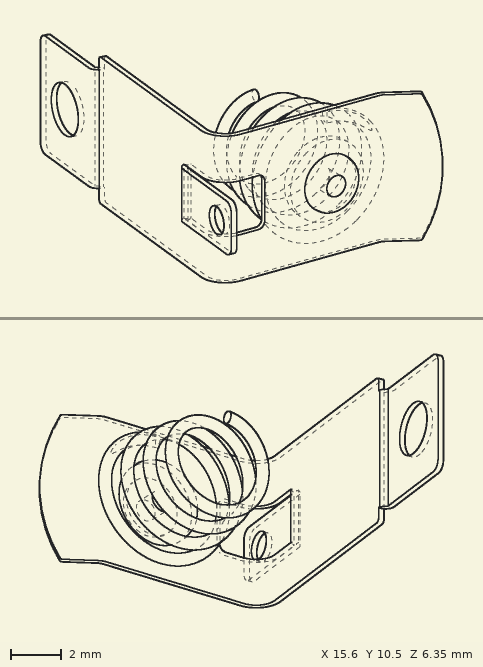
import cadquery as cq
import math

thickness = 0.25
total_length = 15.57
total_height = 10.5

strip_width = 6.35
base_start = 4.33
base_corner_radius = 0.15
base_bottom = thickness
base_top = base_bottom + thickness

mount_width = 5.14
mount_corner_radius = 0.4
mount_hole_diameter = 2.2
mount_hole_x = 2.0
mount_step_x = 4.13

solder_width = 2.3
solder_corner_radius = 0.4
solder_hole_diameter = 1.18
solder_hole_x = 14.37
solder_step_x = 11.45
step_run = 0.22
step_bend_radius = 0.37
step_skew = 0.12
window_clearance = 0.02
window_top = 2.58
window_corner_radius = 0.3

lean = math.radians(5.5)
bend_x = 12.66
bend_outer_radius = 1.09
bend_inner_radius = bend_outer_radius - thickness
lip_bend_y = 8.03
lip_bend_outer_radius = 0.72
lip_bend_inner_radius = lip_bend_outer_radius - thickness
lip_angle = math.radians(25.0)
lip_crown = 0.84
lip_corner_radius = 0.12

rivet_y = 5.7
rivet_hole_diameter = 0.9
rivet_mouth_radius = 0.39
head_diameter = 3.5
head_height = 0.7
head_round = 0.4
tail_diameter = 2.45
tail_height = 0.42
tail_round = 0.3
wire_diameter = 0.51
spring_turns = 4
spring_height = 4.89
spring_pitch = spring_height / spring_turns
spring_tip_radius = 1.87
spring_growth = 0.22
spring_end_gap = 0.08


def on_arc(center, radius, angle):
    """Point on a circle in the XY plane; the angle is counted from +X."""
    return (center[0] + radius * math.cos(angle), center[1] + radius * math.sin(angle))


def step_along(point, distance, angle):
    """Move a point up by a distance in a direction tilted from +Y toward +X."""
    return (point[0] + distance * math.sin(angle), point[1] + distance * math.cos(angle))


bend_center = (bend_x, base_bottom + bend_outer_radius)
wall_foot = on_arc(bend_center, bend_inner_radius, lean)


def wall_face_point(y):
    """Point at height y on the wall face that looks toward the spring."""
    return step_along(wall_foot, (y - wall_foot[1]) / math.cos(lean), -lean)


lip_start = wall_face_point(lip_bend_y)
lip_center = on_arc(lip_start, lip_bend_outer_radius, lean)
lip_foot = on_arc(lip_center, lip_bend_outer_radius, math.pi - lip_angle)
lip_length = (total_height - lip_foot[1]) / math.cos(lip_angle)
lip_tip = step_along(lip_foot, lip_length, lip_angle)
rivet_center = wall_face_point(rivet_y)


def axis_plane(distance):
    """Plane square to the rivet axis, its normal pointing through the wall, its x axis along Z."""
    x, y = on_arc(rivet_center, distance, lean)
    return cq.Plane(origin=(x, y, 0), xDir=(0, 0, 1), normal=(math.cos(lean), math.sin(lean), 0))


def bent_strip():
    middle_bend = (lean - math.pi / 2) / 2
    middle_lip = math.pi + (lean - lip_angle) / 2
    strip = (
        cq.Workplane("XY", origin=(0, 0, -strip_width / 2))
        .moveTo(base_start, base_bottom)
        .lineTo(bend_x, base_bottom)
        .threePointArc(
            on_arc(bend_center, bend_outer_radius, middle_bend),
            on_arc(bend_center, bend_outer_radius, lean),
        )
        .lineTo(*on_arc(lip_center, lip_bend_inner_radius, math.pi + lean))
        .threePointArc(
            on_arc(lip_center, lip_bend_inner_radius, middle_lip),
            on_arc(lip_center, lip_bend_inner_radius, math.pi - lip_angle),
        )
        .lineTo(*on_arc(lip_tip, thickness, -lip_angle))
        .lineTo(*lip_tip)
        .lineTo(*lip_foot)
        .threePointArc(on_arc(lip_center, lip_bend_outer_radius, middle_lip), lip_start)
        .lineTo(*wall_foot)
        .threePointArc(on_arc(bend_center, bend_inner_radius, middle_bend), (bend_x, base_top))
        .lineTo(base_start, base_top)
        .close()
        .extrude(strip_width)
    )
    strip = strip.edges("|Y").edges("<X").fillet(base_corner_radius)
    return strip.cut(lip_trim()).cut(window())


def lip_trim():
    """Waste beyond the crowned end of the lip."""
    plane = cq.Plane(
        origin=(lip_tip[0], lip_tip[1], 0),
        xDir=(0, 0, -1),
        normal=(math.cos(lip_angle), -math.sin(lip_angle), 0),
    )
    half = strip_width / 2
    waste_depth = 2 * thickness
    blank = (
        cq.Workplane("XY")
        .moveTo(-half, -lip_length)
        .lineTo(half, -lip_length)
        .lineTo(half, -lip_crown)
        .threePointArc((0, 0), (-half, -lip_crown))
        .close()
        .extrude(waste_depth, both=True)
    )
    blank = blank.edges("|Z").edges(">Y").fillet(lip_corner_radius)
    waste = (
        cq.Workplane("XY")
        .rect(strip_width, 2 * lip_length)
        .extrude(waste_depth, both=True)
        .cut(blank)
        .intersect(cq.Workplane("XY").rect(strip_width, 3 * lip_crown).extrude(waste_depth, both=True))
    )
    return cq.Workplane(obj=waste.val().moved(cq.Location(plane)))


def window():
    """Opening left in the base and the wall by the solder tab."""
    start = solder_step_x - step_run + step_skew
    width = solder_width + 2 * window_clearance
    block = cq.Workplane("XY").box(
        total_length - start, window_top, width, centered=(False, False, True)
    )
    block = block.edges("|X and >Y").fillet(window_corner_radius)
    return block.translate((start, 0, 0))


def stepped_tab(end_x, step_x, base_x, width, corner_radius, hole_x, hole_diameter):
    """Flat tab with a hole, stepped up to meet the base edge at base_x."""
    toward_base = math.copysign(1, step_x - end_x)
    run = toward_base * step_run
    skew = toward_base * step_skew
    profile = [
        (end_x, 0),
        (step_x, 0),
        (step_x + run, base_bottom),
        (base_x, base_bottom),
        (base_x, base_top),
        (step_x + run - skew, base_top),
        (step_x - skew, thickness),
        (end_x, thickness),
    ]
    tab = cq.Workplane("XY", origin=(0, 0, -width / 2)).polyline(profile).close().extrude(width)
    end_side, base_side = ("<X", ">X") if toward_base > 0 else (">X", "<X")
    tab = tab.edges("|Z").edges("<Y").edges(base_side).fillet(step_bend_radius)
    tab = tab.edges("|Y").edges(end_side).fillet(corner_radius)
    hole = (
        cq.Workplane("XZ", origin=(hole_x, 0, 0))
        .circle(hole_diameter / 2)
        .extrude(thickness, both=True)
    )
    return tab.cut(hole)


def rivet():
    head = cq.Workplane(axis_plane(-head_height)).circle(head_diameter / 2)
    head = head.extrude(head_height + thickness / 2).faces("<X").edges().fillet(head_round)
    tail = cq.Workplane(axis_plane(thickness / 2)).circle(tail_diameter / 2)
    tail = tail.extrude(thickness / 2 + tail_height).faces(">X").edges().fillet(tail_round)
    return head.union(tail)


def rivet_hole():
    """Through hole with a rounded mouth in the head."""
    length = head_height + thickness + tail_height
    radius = rivet_hole_diameter / 2
    mouth = radius + rivet_mouth_radius
    arc_offset = rivet_mouth_radius * (1 - math.sqrt(0.5))
    mouth_plane = axis_plane(-head_height).rotated((90, 0, 0))
    return (
        cq.Workplane(mouth_plane)
        .lineTo(mouth, 0)
        .threePointArc((radius + arc_offset, arc_offset), (radius, rivet_mouth_radius))
        .lineTo(radius, length)
        .lineTo(0, length)
        .close()
        .revolve(360, (0, 0), (0, 1))
    )


def spring():
    taper = math.degrees(math.atan2(spring_growth, spring_pitch))
    slant_pitch = math.hypot(spring_pitch, spring_growth)
    tip_plane = axis_plane(-spring_end_gap - spring_height)
    helix = cq.Wire.makeHelix(slant_pitch, spring_turns * slant_pitch, spring_tip_radius, angle=taper)
    coil = (
        cq.Workplane("XZ", origin=(spring_tip_radius, 0, 0))
        .circle(wire_diameter / 2)
        .sweep(cq.Workplane(obj=helix), isFrenet=True)
    )
    return cq.Workplane(obj=coil.val().moved(cq.Location(tip_plane)))


mount_tab = stepped_tab(
    0, mount_step_x, base_start + 2 * base_corner_radius, mount_width, mount_corner_radius,
    mount_hole_x, mount_hole_diameter,
)
solder_tab = stepped_tab(
    total_length, solder_step_x, solder_step_x - 2 * step_run, solder_width, solder_corner_radius,
    solder_hole_x, solder_hole_diameter,
)
result = (
    bent_strip().union(mount_tab).union(solder_tab).union(rivet()).union(spring()).cut(rivet_hole())
)